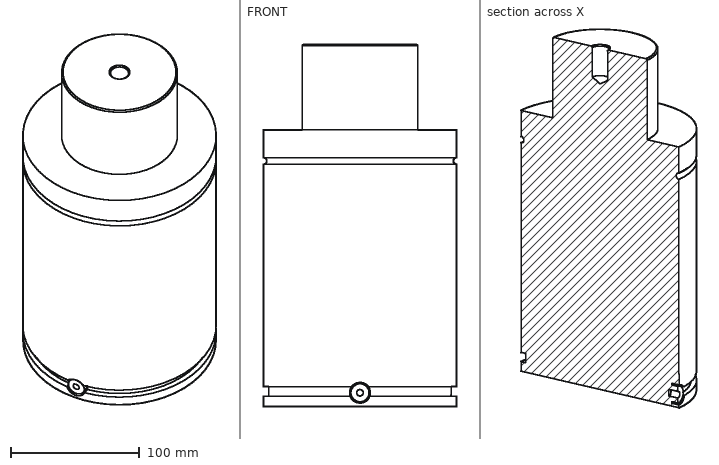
import cadquery as cq
import math

total_height = 281.0
body_diameter = 150.0
body_height = 214.7
rod_diameter = 90.0
rod_chamfer = 1.0

upper_groove_bottom = 188.0
upper_groove_top = 193.0
upper_groove_depth = 2.5

lower_groove_bottom = 8.1
lower_groove_top = 15.5
lower_groove_diameter = 141.5

rod_hole_diameter = 14.0
rod_hole_mouth_diameter = 16.0
rod_hole_depth = 25.3
drill_point_angle = 118.0

pocket_diameter = 16.0
pocket_depth = 7.0
plug_diameter = 14.0
plug_height = 10.7
plug_recess = 1.0
plug_hole_diameter = 5.0
plug_hole_depth = 8.5

body_radius = body_diameter / 2
rod_radius = rod_diameter / 2


def make_cylinder_and_rod():
    """Revolve the stepped outline, including both grooves."""
    groove_floor = lower_groove_diameter / 2
    groove_middle = (upper_groove_bottom + upper_groove_top) / 2
    outline = (
        cq.Workplane("XZ")
        .lineTo(body_radius, 0)
        .lineTo(body_radius, lower_groove_bottom)
        .lineTo(groove_floor, lower_groove_bottom)
        .lineTo(groove_floor, lower_groove_top)
        .lineTo(body_radius, lower_groove_top)
        .lineTo(body_radius, upper_groove_bottom)
        .threePointArc(
            (body_radius - upper_groove_depth, groove_middle),
            (body_radius, upper_groove_top),
        )
        .lineTo(body_radius, body_height)
        .lineTo(rod_radius, body_height)
        .lineTo(rod_radius, total_height - rod_chamfer)
        .lineTo(rod_radius - rod_chamfer, total_height)
        .lineTo(0, total_height)
        .close()
    )
    return outline.revolve(360, (0, 0, 0), (0, 1, 0))


def make_rod_hole():
    """Countersunk blind hole with a drill point, as a solid to cut away."""
    hole_radius = rod_hole_diameter / 2
    mouth_radius = rod_hole_mouth_diameter / 2
    mouth_depth = mouth_radius - hole_radius
    point_depth = hole_radius / math.tan(math.radians(drill_point_angle / 2))
    hole_bottom = total_height - rod_hole_depth
    outline = (
        cq.Workplane("XZ")
        .moveTo(0, total_height)
        .lineTo(mouth_radius, total_height)
        .lineTo(hole_radius, total_height - mouth_depth)
        .lineTo(hole_radius, hole_bottom)
        .lineTo(0, hole_bottom - point_depth)
        .close()
    )
    return outline.revolve(360, (0, 0, 0), (0, 1, 0))


def front_cylinder(diameter, face_offset, length):
    """Cylinder along Y at the plug, its front end face_offset from the body axis."""
    return (
        cq.Workplane("XZ", origin=(0, -face_offset, plug_height))
        .circle(diameter / 2)
        .extrude(-length)
    )


def add_plug(part):
    """Sink a pocket into the body and stand the plug on its floor, leaving a ring-shaped gap."""
    plug_face = body_radius - plug_recess
    plug_length = pocket_depth - plug_recess
    pocket = front_cylinder(pocket_diameter, body_radius, pocket_depth)
    plug = front_cylinder(plug_diameter, plug_face, plug_length)
    plug_hole = front_cylinder(plug_hole_diameter, plug_face, plug_hole_depth)
    return part.cut(pocket).union(plug).cut(plug_hole)


result = add_plug(make_cylinder_and_rod().cut(make_rod_hole()))